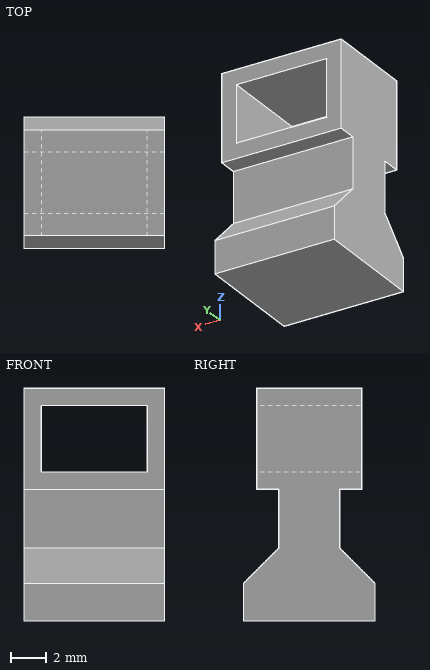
import cadquery as cq

width = 8.0
base_depth = 7.5
height = 13.25

base_height = 2.15
neck_depth = 3.5
head_depth = 6.0
head_height = 5.75

wall = 1.0

shoulder_top = base_height + (base_depth - neck_depth) / 2
head_bottom = height - head_height


def make_body():
    """Extrude the symmetric Y-Z profile along X, centred on the origin."""
    half_profile = [
        (0, 0),
        (base_depth / 2, 0),
        (base_depth / 2, base_height),
        (neck_depth / 2, shoulder_top),
        (neck_depth / 2, head_bottom),
        (head_depth / 2, head_bottom),
        (head_depth / 2, height),
        (0, height),
    ]
    return (
        cq.Workplane("YZ")
        .polyline(half_profile)
        .mirrorY()
        .extrude(width / 2, both=True)
    )


def make_window():
    """Rectangular opening that passes through the head along Y."""
    return cq.Workplane("XY").box(
        width - 2 * wall, head_depth, head_height - 2 * wall
    ).translate((0, 0, head_bottom + head_height / 2))


result = make_body().cut(make_window())